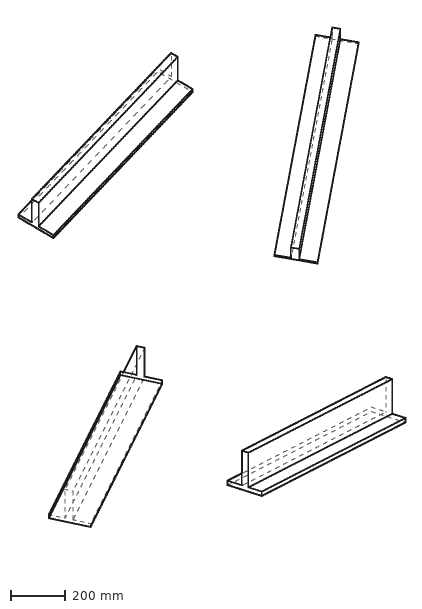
import cadquery as cq

length = 854.0
flange_width = 161.0
flange_thickness = 18.0
total_height = 157.0
web_thickness = 31.0
left_ledge_width = 62.0

web_center_x = -flange_width / 2 + left_ledge_width + web_thickness / 2


def full_length_plate(width, height, center_x):
    """Plate running the whole beam length, with its underside at Z = 0."""
    plate = cq.Workplane("XY").box(width, length, height, centered=(True, True, False))
    return plate.translate((center_x, 0, 0))


flange = full_length_plate(flange_width, flange_thickness, 0)
web = full_length_plate(web_thickness, total_height, web_center_x)

result = flange.union(web).clean()